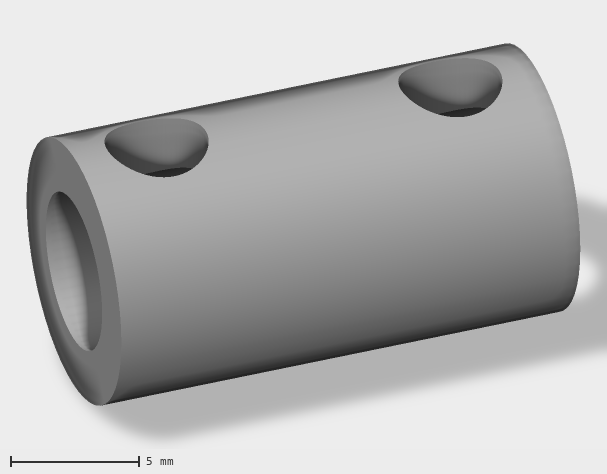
import cadquery as cq

length = 19.05
outer_diameter = 10.67
bore_diameter = 6.35

screw_hole_diameter = 4.05
screw_hole_end_distance = 3.43
screw_hole_offset = length / 2 - screw_hole_end_distance


def sleeve():
    """Plain tube with its axis along Y."""
    return (
        cq.Workplane("XZ")
        .circle(outer_diameter / 2)
        .circle(bore_diameter / 2)
        .extrude(length / 2, both=True)
    )


def screw_holes():
    """Vertical cutters from the bore axis up to the top of the sleeve."""
    return (
        cq.Workplane("XY")
        .pushPoints([(0, -screw_hole_offset), (0, screw_hole_offset)])
        .circle(screw_hole_diameter / 2)
        .extrude(outer_diameter / 2)
    )


result = sleeve().cut(screw_holes())